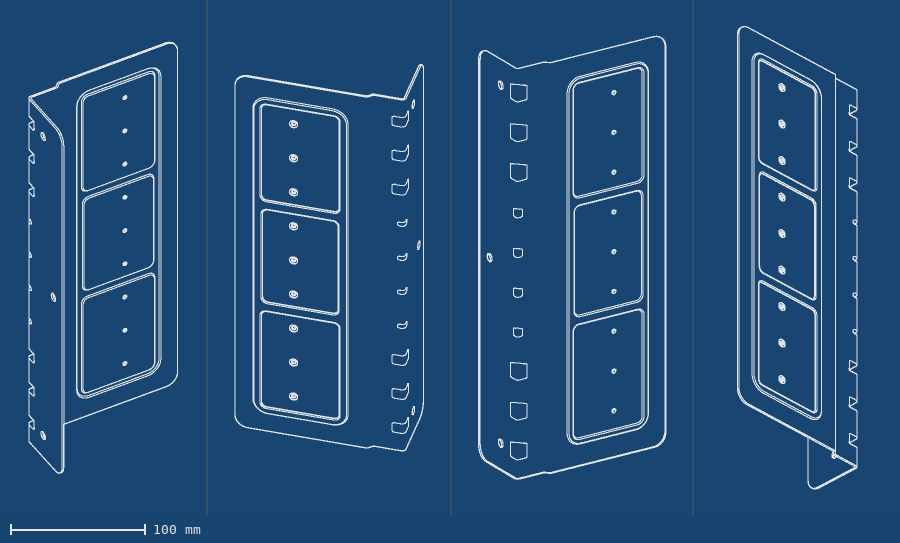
import math

import cadquery as cq

length = 330.0
sheet = 1.5
bend_inner_radius = 1.5
bend_outer_radius = bend_inner_radius + sheet
flange_width = 51.5
panel_end = 130.0
jog_start = 24.5
jog_offset = 3.5
jog_angle = 45.0
corner_radius = 10.0

emboss_height = 1.0
emboss_draft = 45.0
frame_width = 73.3
frame_height = 297.0
frame_corner_radius = 12.0
frame_y = 79.5
end_window = (61.7, 91.7)
middle_window = (60.0, 88.8)
window_corner_radius = 5.0
window_rib = 7.0
plate_thickness = 0.5

pitch = 32.0
panel_hole_y = 84.8
panel_hole_diameter = 3.25
plate_hole_diameter = 6.3
panel_hole_count = 9
flange_hole_diameter = 6.3
end_hole_x = 23.5
middle_hole_x = 38.5

gusset_count = 10
small_gussets = range(3, 7)
large_gusset = (10.0, 9.0, 1.3)
small_gusset = (6.0, 3.5, 1.5)

jog_corner_shift = sheet * math.tan(math.radians(jog_angle / 2))
draft_shift = sheet * math.tan(math.radians(emboss_draft / 2))
jog_run = jog_offset / math.tan(math.radians(jog_angle))
panel_face = -jog_offset
emboss_run = emboss_height / math.tan(math.radians(emboss_draft))
window_spacing = (end_window[1] + middle_window[1]) / 2 + window_rib
windows = [
    (-window_spacing, end_window),
    (0.0, middle_window),
    (window_spacing, end_window),
]
end_hole_z = pitch * (gusset_count - 1) / 2


def panel_plane(x, z):
    """Plane parallel to the panel with local axes +Y and +Z and normal +X."""
    return cq.Plane(origin=(x, frame_y, z), xDir=(0, 1, 0), normal=(1, 0, 0))


def tapered_block(x, z, size, radius, height):
    """Rounded rectangle at X = x that narrows by the pressing draft as it rises along +X or -X."""
    outline = cq.Workplane(panel_plane(x, z)).sketch().rect(*size).vertices().fillet(radius).finalize()
    return outline.extrude(height, taper=emboss_draft)


def grown(size, amount):
    """Rectangle size with every side moved outwards by the amount."""
    return tuple(side + 2 * amount for side in size)


def fillet_corners(body, corners, radius):
    """Round the Z edges that stand on the given (x, y) corners."""
    tolerance = sheet / 10
    edges = [
        edge for edge in body.edges("|Z").vals()
        if any(math.dist((edge.Center().x, edge.Center().y), corner) < tolerance for corner in corners)
    ]
    return body.newObject([body.val().fillet(radius, edges)])


def folded_sheet():
    """Flange, web, jog and panel as one bent sheet with rounded free corners."""
    jog_end = jog_start + jog_run
    profile = [
        (0, 0),
        (flange_width, 0),
        (flange_width, sheet),
        (sheet, sheet),
        (sheet, jog_start + jog_corner_shift),
        (sheet + panel_face, jog_end + jog_corner_shift),
        (sheet + panel_face, panel_end),
        (panel_face, panel_end),
        (panel_face, jog_end),
        (0, jog_start),
    ]
    outer_bends = [profile[0], profile[4], profile[8]]
    inner_bends = [profile[3], profile[5], profile[9]]

    body = cq.Workplane("XY").polyline(profile).close().extrude(length / 2, both=True)
    body = fillet_corners(body, inner_bends, bend_inner_radius)
    body = fillet_corners(body, outer_bends, bend_outer_radius)
    body = body.faces(">X").edges("|Y").fillet(corner_radius)
    return body.faces(">Y").edges("|X").fillet(corner_radius)


def raised_frame(face, frame_size, radius, window_growth):
    """Drafted frame standing on the X = face plane, less its three drafted windows."""
    frame = tapered_block(face, 0, frame_size, radius, -emboss_height)
    for z, rim in windows:
        window = tapered_block(
            face - emboss_height, z, grown(rim, window_growth),
            window_corner_radius + window_growth, emboss_height,
        )
        frame = frame.cut(window)
    return frame


def gusset_wedge(z, leg, width, rounding):
    """Wedge across the bend; its floor runs at 45 degrees from face to face, with rounded long edges."""
    floor_plane = cq.Plane(origin=(leg / 2, leg / 2, z), xDir=(1, -1, 0), normal=(-1, -1, 0))
    block = cq.Workplane(floor_plane).rect(leg * math.sqrt(2), width).extrude(leg)
    return block.faces("<(-1, -1, 0)").edges("not |Z").fillet(rounding)


def add_gusset(body, z, leg, width, rounding):
    """Dent the bend from outside and raise the matching bump, one sheet thickness away, inside."""
    bump_leg = leg + sheet * math.sqrt(2)
    bump = gusset_wedge(z, bump_leg, width + 2 * sheet, rounding)
    inside = cq.Workplane("XY").box(flange_width, flange_width, length, centered=(False, False, True))
    inside = inside.translate((sheet, sheet, 0))
    dent = gusset_wedge(z, leg, width, rounding)
    return body.union(bump.intersect(inside)).cut(dent)


def panel_holes(diameter):
    """Row of cylinders along X, long enough to pass through the panel and the plates."""
    start = panel_face - emboss_height
    return (
        cq.Workplane(panel_plane(start, 0))
        .center(panel_hole_y - frame_y, 0)
        .rarray(3.3, pitch, 1, panel_hole_count)
        .circle(diameter / 2)
        .extrude(emboss_height + sheet)
    )


def flange_holes():
    """Three cylinders along Y through the flange."""
    points = [(end_hole_x, -end_hole_z), (middle_hole_x, 0), (end_hole_x, end_hole_z)]
    return cq.Workplane("XZ").pushPoints(points).circle(flange_hole_diameter / 2).extrude(-sheet)


def make_bracket():
    """Folded sheet with its pressed frame, holes and gussets."""
    body = folded_sheet()
    frame_size = (frame_width, frame_height)
    body = body.union(raised_frame(panel_face, frame_size, frame_corner_radius, 0))

    groove = raised_frame(
        panel_face + sheet, grown(frame_size, -draft_shift),
        frame_corner_radius - draft_shift, draft_shift,
    )
    body = body.cut(groove)

    for i in range(gusset_count):
        shape = small_gusset if i in small_gussets else large_gusset
        body = add_gusset(body, pitch * i - end_hole_z, *shape)

    body = body.cut(panel_holes(panel_hole_diameter))
    return body.cut(flange_holes())


def make_window_plate(z, rim):
    """Thin plate covering the window floor, with a clearance hole around each panel hole."""
    floor = grown(rim, -emboss_run)
    outline = cq.Workplane(panel_plane(panel_face, z)).sketch().rect(*floor)
    outline = outline.vertices().fillet(window_corner_radius - emboss_run).finalize()
    plate = outline.extrude(-plate_thickness)
    return plate.cut(panel_holes(plate_hole_diameter))


bracket = make_bracket()
window_plates = [make_window_plate(z, rim) for z, rim in windows]

result = cq.Compound.makeCompound([bracket.val(), *[plate.val() for plate in window_plates]])